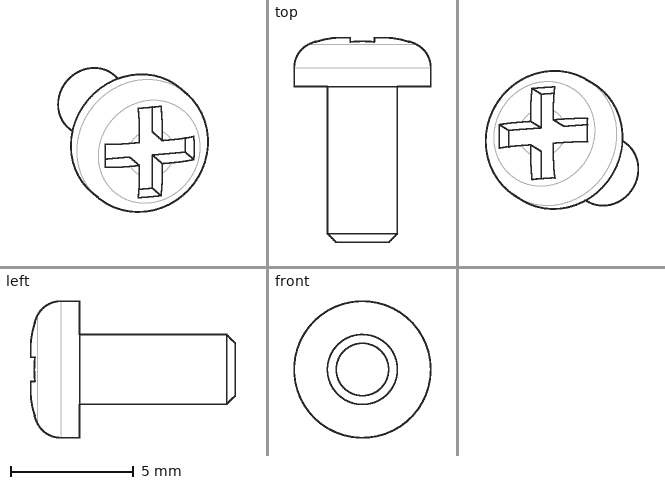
import cadquery as cq
import math

shank_diameter = 2.85
shank_length = 6.33
tip_chamfer = 0.36

head_diameter = 5.565
head_height = 2.0
rim_height = 0.775
flat_top_radius = 1.0
crown_radius = 2.75

recess_width = 0.975
recess_span = 3.78
recess_depth = 1.33

head_radius = head_diameter / 2
crown_center_y = head_height - crown_radius

radial_gap = head_radius - flat_top_radius
axial_gap = rim_height - crown_center_y
shoulder_radius = (crown_radius**2 - radial_gap**2 - axial_gap**2) / (2 * (crown_radius - radial_gap))
shoulder_center_x = head_radius - shoulder_radius
tangent_angle = math.atan2(shoulder_center_x - flat_top_radius, axial_gap)


def arc_point(center_x, center_y, radius, angle):
    """Point on an arc, with the angle measured from the screw axis."""
    return (center_x + radius * math.sin(angle), center_y + radius * math.cos(angle))


def make_head():
    shoulder_middle = arc_point(
        shoulder_center_x, rim_height, shoulder_radius, (math.pi / 2 + tangent_angle) / 2
    )
    crown_edge = arc_point(flat_top_radius, crown_center_y, crown_radius, tangent_angle)
    crown_middle = arc_point(flat_top_radius, crown_center_y, crown_radius, tangent_angle / 2)
    profile = (
        cq.Workplane("XY")
        .lineTo(head_radius, 0)
        .lineTo(head_radius, rim_height)
        .threePointArc(shoulder_middle, crown_edge)
        .threePointArc(crown_middle, (flat_top_radius, head_height))
        .lineTo(0, head_height)
        .close()
    )
    return profile.revolve(360, (0, 0, 0), (0, 1, 0))


def make_shank():
    shank = cq.Workplane("XZ").circle(shank_diameter / 2).extrude(shank_length)
    return shank.faces("<Y").chamfer(tip_chamfer)


def make_cross_recess():
    top = cq.Workplane("XZ", origin=(0, head_height, 0))
    arm_x = top.rect(recess_span, recess_width).extrude(recess_depth)
    arm_z = top.rect(recess_width, recess_span).extrude(recess_depth)
    return arm_x.union(arm_z)


result = make_head().union(make_shank()).cut(make_cross_recess())